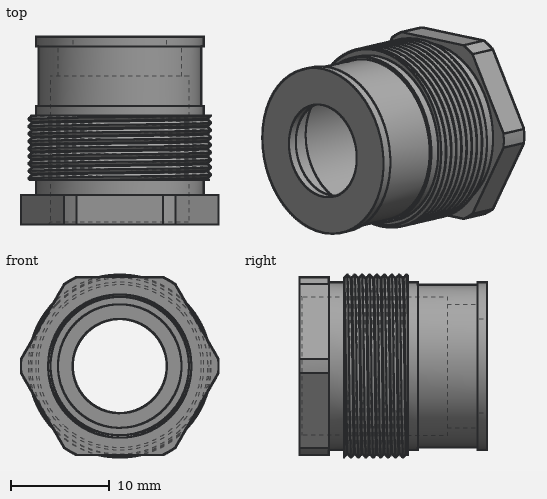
import cadquery as cq
import math

hex_across_flats = 18.0
hex_across_corners = 19.99
hex_thickness = 3.0

collar_diameter = 17.0
body_diameter = 16.5
thread_start = 4.5
thread_end = 11.0
collar_end = 12.0
total_length = 19.0
end_rim_width = 1.0

thread_diameter = 18.5
two_turn_advance = 1.5
thread_pitch = two_turn_advance / 2
thread_depth = 0.34
turn_gap = 0.02
ridge_overlap = 0.04
thread_phase = 0.54

bore_diameter = 14.0
bore_depth = 15.0
mouth_diameter = 14.5
bore_chamfer = (mouth_diameter - bore_diameter) / 2
step_diameter = 12.5
outlet_diameter = 9.5
end_wall = 1.0


def cylinder(diameter, start, end):
    """Solid cylinder along Y between two Y positions."""
    base = cq.Workplane("XZ", origin=(0, start, 0))
    return base.circle(diameter / 2).extrude(start - end)


def wrench_hexagon():
    sharp_diameter = hex_across_flats / math.cos(math.pi / 6)
    hexagon = cq.Workplane("XZ").polygon(6, sharp_diameter).extrude(-hex_thickness)
    return hexagon.intersect(cylinder(hex_across_corners, 0, hex_thickness))


def thread_ridge():
    """Right-hand V ridge that runs out past both ends of the thread."""
    outer_radius = thread_diameter / 2
    root_radius = outer_radius - thread_depth
    buried_radius = root_radius - ridge_overlap
    half_base = (thread_pitch - turn_gap) / 2
    turns = math.ceil((thread_end - thread_start) / thread_pitch) + 2
    helix = cq.Wire.makeHelix(thread_pitch, turns * thread_pitch, buried_radius)
    ridge = (
        cq.Workplane("XZ")
        .moveTo(buried_radius, -half_base)
        .lineTo(outer_radius, 0)
        .lineTo(buried_radius, half_base)
        .close()
        .sweep(cq.Workplane(helix), isFrenet=True)
    )
    ridge_start = thread_start + thread_phase - thread_pitch
    return ridge.rotate((0, 0, 0), (1, 0, 0), -90).translate((0, ridge_start, 0))


def external_thread():
    root_diameter = thread_diameter - 2 * thread_depth
    core = cylinder(root_diameter, thread_start, thread_end)
    trim = cylinder(thread_diameter + thread_pitch, thread_start, thread_end)
    return core.union(thread_ridge().intersect(trim, clean=False), clean=False)


def outer_body():
    return (
        wrench_hexagon()
        .union(cylinder(collar_diameter, hex_thickness, collar_end))
        .union(cylinder(body_diameter, collar_end, total_length))
        .union(cylinder(collar_diameter, total_length - end_rim_width, total_length))
        .union(external_thread(), clean=False)
    )


def stepped_bore():
    """Chamfered entry, two counterbores and the smaller outlet hole."""
    entry = cq.Solid.makeCone(
        mouth_diameter / 2,
        bore_diameter / 2,
        bore_chamfer,
        pnt=cq.Vector(0, 0, 0),
        dir=cq.Vector(0, 1, 0),
    )
    return (
        cylinder(bore_diameter, 0, bore_depth)
        .union(cq.Workplane(entry))
        .union(cylinder(step_diameter, bore_depth, total_length - end_wall))
        .union(cylinder(outlet_diameter, total_length - end_wall, total_length))
    )


result = outer_body().cut(stepped_bore(), clean=False)